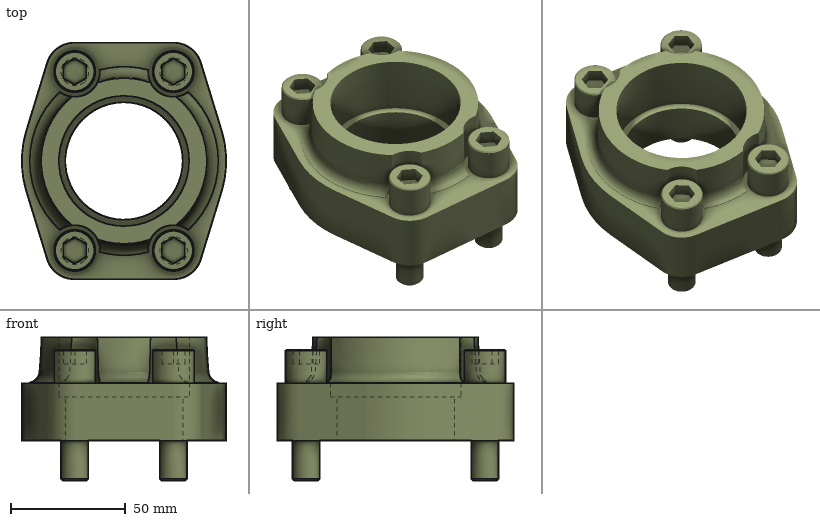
import cadquery as cq
import math

PLATE_THICKNESS = 25.0
PLATE_WIDTH = 89.0
PLATE_LENGTH = 103.0
BOLT_X = 21.45
BOLT_Y = 38.9
SIDE_RADIUS = PLATE_WIDTH / 2
CORNER_RADIUS = PLATE_LENGTH / 2 - BOLT_Y

HUB_TOP_Z = 45.0
HUB_TOP_RADIUS = 36.0
HUB_DRAFT = math.radians(3.0)
HUB_FILLET_RADIUS = 5.0
HUB_FILLET_FLOOR_Z = PLATE_THICKNESS + 0.2
HUB_RIM_RADIUS = 41.0
SCALLOP_RADIUS = 11.0

BORE_DIAMETER = 51.0
SOCKET_DIAMETER = 56.66
SOCKET_DEPTH = 26.0

SCREW_DIAMETER = 12.0
SCREW_LENGTH = 45.0
SCREW_TIP_CHAMFER = 1.0
HEAD_DIAMETER = 18.0
HEAD_HEIGHT = SCREW_DIAMETER
HEAD_CHAMFER = 0.5
WASHER_THICKNESS = 2.5
HEX_ACROSS_FLATS = 10.0
HEX_DEPTH = 6.0

HEAD_SEAT_Z = PLATE_THICKNESS + WASHER_THICKNESS
HEAD_TOP_Z = HEAD_SEAT_Z + HEAD_HEIGHT
SCREW_TIP_Z = HEAD_SEAT_Z - SCREW_LENGTH
BOLT_POINTS = [(sx * BOLT_X, sy * BOLT_Y) for sx in (-1, 1) for sy in (-1, 1)]


def make_plate():
    """Plate with two bowed sides, joined to the corner arcs by tangent lines."""
    centre_distance = math.hypot(BOLT_X, BOLT_Y)
    normal_angle = math.atan2(BOLT_Y, BOLT_X) - math.acos(
        (SIDE_RADIUS - CORNER_RADIUS) / centre_distance
    )
    side_x = SIDE_RADIUS * math.cos(normal_angle)
    side_y = SIDE_RADIUS * math.sin(normal_angle)
    corner_x = BOLT_X + CORNER_RADIUS * math.cos(normal_angle)
    corner_y = BOLT_Y + CORNER_RADIUS * math.sin(normal_angle)
    middle_angle = (normal_angle + math.pi / 2) / 2
    middle_x = BOLT_X + CORNER_RADIUS * math.cos(middle_angle)
    middle_y = BOLT_Y + CORNER_RADIUS * math.sin(middle_angle)
    end_y = PLATE_LENGTH / 2
    return (
        cq.Workplane("XY")
        .moveTo(side_x, -side_y)
        .threePointArc((SIDE_RADIUS, 0), (side_x, side_y))
        .lineTo(corner_x, corner_y)
        .threePointArc((middle_x, middle_y), (BOLT_X, end_y))
        .lineTo(-BOLT_X, end_y)
        .threePointArc((-middle_x, middle_y), (-corner_x, corner_y))
        .lineTo(-side_x, side_y)
        .threePointArc((-SIDE_RADIUS, 0), (-side_x, -side_y))
        .lineTo(-corner_x, -corner_y)
        .threePointArc((-middle_x, -middle_y), (-BOLT_X, -end_y))
        .lineTo(BOLT_X, -end_y)
        .threePointArc((middle_x, -middle_y), (corner_x, -corner_y))
        .close()
        .extrude(PLATE_THICKNESS)
    )


def make_hub():
    """Tapered hub with a concave foot ending at a low rim, scalloped around the screws."""
    hub_height = HUB_TOP_Z - PLATE_THICKNESS
    fillet_centre_z = HUB_FILLET_FLOOR_Z + HUB_FILLET_RADIUS
    tangent_z = fillet_centre_z - HUB_FILLET_RADIUS * math.sin(HUB_DRAFT)
    tangent_r = HUB_TOP_RADIUS + (HUB_TOP_Z - tangent_z) * math.tan(HUB_DRAFT)
    fillet_centre_r = tangent_r + HUB_FILLET_RADIUS * math.cos(HUB_DRAFT)
    rim_angle = math.acos((fillet_centre_r - HUB_RIM_RADIUS) / HUB_FILLET_RADIUS)

    def fillet_point(angle):
        return (
            fillet_centre_r - HUB_FILLET_RADIUS * math.cos(angle),
            fillet_centre_z - HUB_FILLET_RADIUS * math.sin(angle),
        )

    hub = (
        cq.Workplane("XZ")
        .moveTo(0, PLATE_THICKNESS)
        .lineTo(0, HUB_TOP_Z)
        .lineTo(HUB_TOP_RADIUS, HUB_TOP_Z)
        .lineTo(tangent_r, tangent_z)
        .threePointArc(fillet_point((HUB_DRAFT + rim_angle) / 2), fillet_point(rim_angle))
        .lineTo(HUB_RIM_RADIUS, PLATE_THICKNESS)
        .close()
        .revolve(360, (0, 0, 0), (0, 1, 0))
    )
    scallops = (
        cq.Workplane("XY", origin=(0, 0, PLATE_THICKNESS))
        .pushPoints(BOLT_POINTS)
        .circle(SCALLOP_RADIUS)
        .extrude(hub_height)
    )
    return hub.cut(scallops)


def cut_bore(body):
    """Through bore with a wider socket from the hub end."""
    bore = cq.Workplane("XY").circle(BORE_DIAMETER / 2).extrude(HUB_TOP_Z)
    socket = (
        cq.Workplane("XY", origin=(0, 0, HUB_TOP_Z))
        .circle(SOCKET_DIAMETER / 2)
        .extrude(-SOCKET_DEPTH)
    )
    return body.cut(bore).cut(socket)


def make_screw():
    """Socket head screw and its washer; hexagon corners point along Y."""
    shank = (
        cq.Workplane("XY", origin=(0, 0, SCREW_TIP_Z))
        .circle(SCREW_DIAMETER / 2)
        .extrude(SCREW_LENGTH)
        .faces("<Z")
        .chamfer(SCREW_TIP_CHAMFER)
    )
    head = (
        cq.Workplane("XY", origin=(0, 0, PLATE_THICKNESS))
        .circle(HEAD_DIAMETER / 2)
        .extrude(HEAD_TOP_Z - PLATE_THICKNESS)
        .faces(">Z")
        .chamfer(HEAD_CHAMFER)
    )
    hex_socket = (
        cq.Workplane("XY", origin=(0, 0, HEAD_TOP_Z))
        .polygon(6, HEX_ACROSS_FLATS, circumscribed=True)
        .extrude(-HEX_DEPTH)
    )
    return shank.union(head).cut(hex_socket)


result = cut_bore(make_plate().union(make_hub()))
screw = make_screw()
for x, y in BOLT_POINTS:
    result = result.union(screw.translate((x, y, 0)))